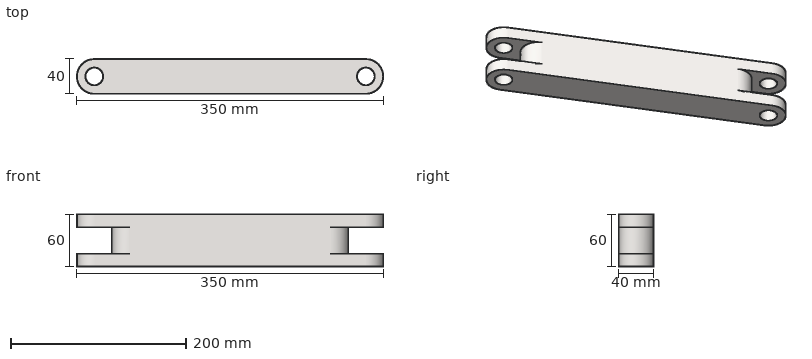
import cadquery as cq

length = 350.0
width = 40.0
height = 60.0
fork_gap = 30.0
fork_depth = 40.0
pin_diameter = 20.0

plate_thickness = (height - fork_gap) / 2
pin_spacing = length - width
web_length = length - 2 * fork_depth


def rounded_bar(bar_length, bottom, thickness):
    """Bar along X with full-round ends, rising from the given Z level."""
    return cq.Workplane("XY").workplane(offset=bottom).slot2D(bar_length, width).extrude(thickness)


lower_plate = rounded_bar(length, -height / 2, plate_thickness)
web = rounded_bar(web_length, -fork_gap / 2, fork_gap)
upper_plate = rounded_bar(length, fork_gap / 2, plate_thickness)
body = lower_plate.union(web).union(upper_plate)

pin_holes = (
    cq.Workplane("XY")
    .workplane(offset=-height / 2)
    .pushPoints([(-pin_spacing / 2, 0), (pin_spacing / 2, 0)])
    .circle(pin_diameter / 2)
    .extrude(height)
)

result = body.cut(pin_holes)